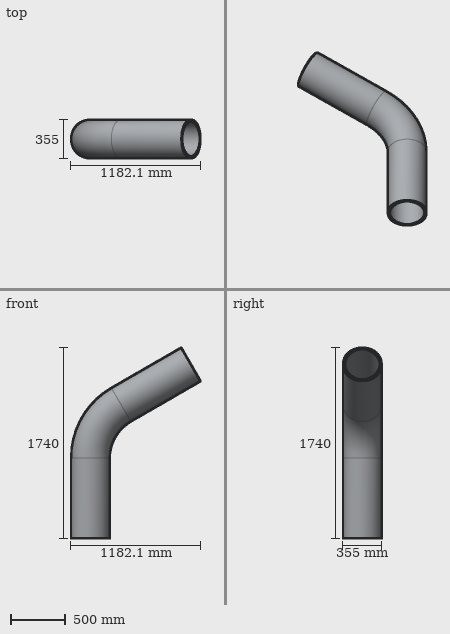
import cadquery as cq
import math

outer_diameter = 355.0
bore_diameter = 313.0
bend_angle = 60.0
bend_radius = 559.0
overall_height = 1740.0

outer_radius = outer_diameter / 2
sin_bend = math.sin(math.radians(bend_angle))
cos_bend = math.cos(math.radians(bend_angle))
bend_rise = (bend_radius + outer_radius) * sin_bend
leg_length = (overall_height - bend_rise) / (1 + cos_bend)


def bend_point(angle):
    """Point on the bend centreline, at an angle in degrees from its start."""
    turn = math.radians(angle)
    return (
        bend_radius * (1 - math.cos(turn)),
        leg_length + bend_radius * math.sin(turn),
    )


bend_end = bend_point(bend_angle)
leg_end = (
    bend_end[0] + leg_length * sin_bend,
    bend_end[1] + leg_length * cos_bend,
)
centreline = (
    cq.Workplane("XZ")
    .lineTo(0, leg_length)
    .threePointArc(bend_point(bend_angle / 2), bend_end)
    .lineTo(*leg_end)
)

result = (
    cq.Workplane("XY")
    .circle(outer_radius)
    .circle(bore_diameter / 2)
    .sweep(centreline)
)